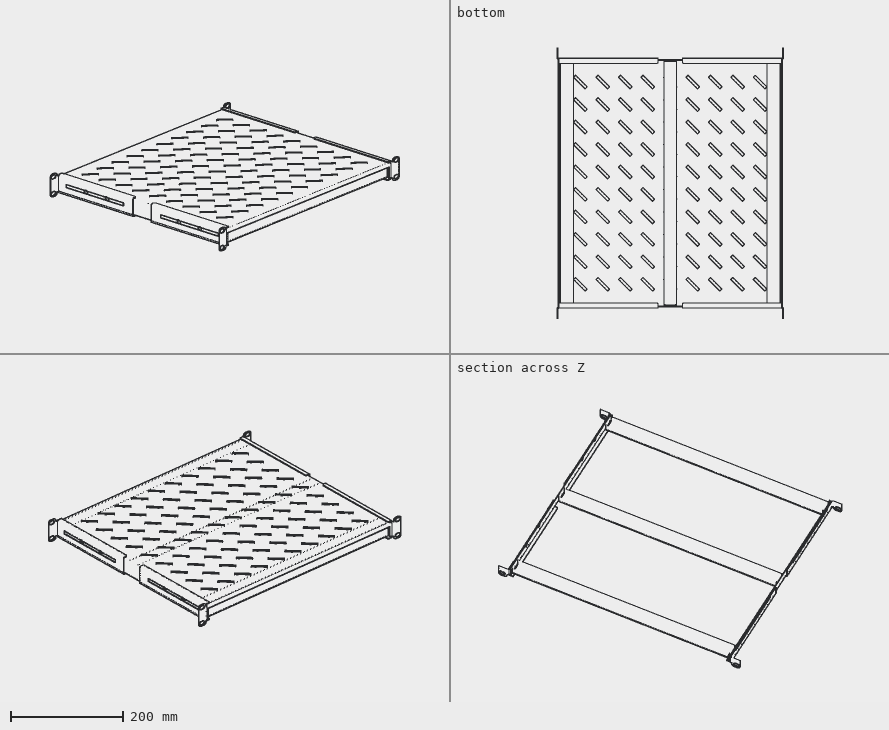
import cadquery as cq

SHEET = 2.0
SHELF_X = 399.5
SHELF_Y = 441.5
SHELF_TOP = 16.0
SHELF_BOTTOM = -14.5
SHELF_BEND = 4.0
FRONT_FLANGE_BOTTOM = 6.8

SLOT_COLUMNS = 9
SLOT_ROWS = 10
SLOT_PITCH = 40.0
SLOT_LENGTH = 29.0
SLOT_WIDTH = 5.0
SLOT_ANGLE = 45

SIDE_HOLE_DIAMETER = 7.5
SIDE_HOLE_INNER_X = 85.5
SIDE_HOLE_OUTER_X = 135.5

CHANNEL_WIDTH = 23.0
CHANNEL_BEND = 2.5

PLATE = 2.0
OVERALL_X = 404.0
OVERALL_Y = 482.5
BRACKET_HEIGHT = 36.0
BRACKET_END_X = 21.5
BRACKET_BEND = 3.0
LIP_EDGE_Y = 213.5
LIP_CORNER = 3.0
EAR_BEND = 3.5
EAR_HEIGHT = 44.0
EAR_CORNER = 6.0
EAR_SLOT_LENGTH = 11.5
EAR_SLOT_HEIGHT = 7.0
EAR_SLOT_Y = 234.0
EAR_SLOT_Z = 16.0
ADJUST_SLOT_START_X = 44.5
ADJUST_SLOT_END_X = 181.0
ADJUST_SLOT_HEIGHT = 6.0

BRACKET_HALF_HEIGHT = BRACKET_HEIGHT / 2
SHELF_UNDERSIDE = SHELF_TOP - SHEET
SLOT_CUT_DEPTH = 4 * SHEET
INNER_X = SHELF_X - 2 * SHEET
INNER_Y = SHELF_Y - 2 * SHEET
INNER_BEND = SHELF_BEND - SHEET
CHANNEL_LENGTH = SHELF_Y - 2 * SHELF_BEND
END_CHANNEL_X = INNER_X / 2 - INNER_BEND - CHANNEL_WIDTH / 2
WALL_INNER_Y = SHELF_Y / 2
WALL_OUTER_Y = WALL_INNER_Y + PLATE
EAR_FACE_X = OVERALL_X / 2
EAR_BACK_X = EAR_FACE_X - PLATE
EAR_START_Y = WALL_INNER_Y + EAR_BEND
EAR_END_Y = OVERALL_Y / 2


def block(x_range, y_range, z_range):
    """Box between the given (low, high) limits along each axis."""
    (x0, x1), (y0, y1), (z0, z1) = x_range, y_range, z_range
    return cq.Workplane("XY").box(x1 - x0, y1 - y0, z1 - z0, centered=False).translate((x0, y0, z0))


def rounded_tray(length_x, length_y, top, radius):
    """Solid block down to the shelf bottom, with all its top edges rounded."""
    tray = cq.Workplane("XY").workplane(offset=SHELF_BOTTOM).rect(length_x, length_y)
    return tray.extrude(top - SHELF_BOTTOM).faces(">Z").edges().fillet(radius)


def make_shelf():
    """Slotted tray, open below, with deep flanges at its Y sides and short ones at its X ends."""
    shelf = rounded_tray(SHELF_X, SHELF_Y, SHELF_TOP, SHELF_BEND)
    shelf = shelf.cut(rounded_tray(INNER_X, INNER_Y, SHELF_UNDERSIDE, INNER_BEND))

    end_opening = block(
        (-SHELF_X, SHELF_X),
        (-CHANNEL_LENGTH / 2, CHANNEL_LENGTH / 2),
        (SHELF_BOTTOM, FRONT_FLANGE_BOTTOM),
    )
    shelf = shelf.cut(end_opening)

    slots = (
        cq.Workplane("XY")
        .workplane(offset=SHELF_UNDERSIDE)
        .rarray(SLOT_PITCH, SLOT_PITCH, SLOT_COLUMNS, SLOT_ROWS)
        .eachpoint(
            cq.Workplane("XY")
            .box(SLOT_LENGTH, SLOT_WIDTH, SLOT_CUT_DEPTH)
            .rotate((0, 0, 0), (0, 0, 1), SLOT_ANGLE)
            .val(),
            combine=False,
        )
    )
    shelf = shelf.cut(slots)

    hole_places = [
        (side * x, 0) for side in (-1, 1) for x in (SIDE_HOLE_INNER_X, SIDE_HOLE_OUTER_X)
    ]
    holes = cq.Workplane("XZ").pushPoints(hole_places).circle(SIDE_HOLE_DIAMETER / 2)
    return shelf.cut(holes.extrude(SHELF_Y, both=True))


def make_channel(x_middle):
    """U channel, open upward, lying along Y under the shelf top."""
    outer = block(
        (-CHANNEL_WIDTH / 2, CHANNEL_WIDTH / 2),
        (-CHANNEL_LENGTH / 2, CHANNEL_LENGTH / 2),
        (SHELF_BOTTOM, SHELF_UNDERSIDE),
    )
    outer = outer.faces("<Z").edges("|Y").fillet(CHANNEL_BEND)
    half_inside = CHANNEL_WIDTH / 2 - SHEET
    inside = block(
        (-half_inside, half_inside),
        (-CHANNEL_LENGTH / 2, CHANNEL_LENGTH / 2),
        (SHELF_BOTTOM + SHEET, SHELF_UNDERSIDE),
    )
    inside = inside.faces("<Z").edges("|Y").fillet(CHANNEL_BEND - SHEET)
    return outer.cut(inside).translate((x_middle, 0, 0))


def make_rail():
    """Straight C section of a bracket, holding the +Y shelf flange at the +X half."""
    inner_half_height = BRACKET_HALF_HEIGHT - PLATE
    x_range = (BRACKET_END_X, EAR_FACE_X - EAR_BEND)
    outer = block(x_range, (LIP_EDGE_Y, WALL_OUTER_Y), (-BRACKET_HALF_HEIGHT, BRACKET_HALF_HEIGHT))
    outer = outer.faces(">Y").edges("|X").fillet(BRACKET_BEND)
    inside = block(x_range, (LIP_EDGE_Y, WALL_INNER_Y), (-inner_half_height, inner_half_height))
    inside = inside.faces(">Y").edges("|X").fillet(BRACKET_BEND - PLATE)
    rail = outer.cut(inside)

    lip_corners = cq.selectors.BoxSelector(
        (BRACKET_END_X - PLATE, LIP_EDGE_Y - PLATE, -BRACKET_HEIGHT),
        (BRACKET_END_X + PLATE, LIP_EDGE_Y + PLATE, BRACKET_HEIGHT),
    )
    rail = rail.edges(lip_corners).edges("|Z").fillet(LIP_CORNER)

    adjust_slot = block(
        (ADJUST_SLOT_START_X, ADJUST_SLOT_END_X),
        (WALL_INNER_Y - PLATE, WALL_OUTER_Y + PLATE),
        (-ADJUST_SLOT_HEIGHT / 2, ADJUST_SLOT_HEIGHT / 2),
    )
    return rail.cut(adjust_slot)


def make_ear_bend():
    """Quarter-round bend joining the bracket wall to its ear."""
    bend_x = EAR_FACE_X - EAR_BEND
    height = 2 * (BRACKET_HALF_HEIGHT - BRACKET_BEND)
    sector = block(
        (bend_x, EAR_FACE_X),
        (WALL_INNER_Y, EAR_START_Y),
        (-height / 2, height / 2),
    )
    tube = (
        cq.Workplane("XY")
        .workplane(offset=-height / 2)
        .center(bend_x, EAR_START_Y)
        .circle(EAR_BEND)
        .circle(EAR_BEND - PLATE)
        .extrude(height)
    )
    return tube.intersect(sector)


def make_ear():
    """Upright mounting ear with two elongated screw holes."""
    ear = block((EAR_BACK_X, EAR_FACE_X), (EAR_START_Y, EAR_END_Y), (-EAR_HEIGHT / 2, EAR_HEIGHT / 2))
    ear = ear.edges("|X").fillet(EAR_CORNER)
    screw_slots = (
        cq.Workplane("YZ")
        .pushPoints([(EAR_SLOT_Y, EAR_SLOT_Z), (EAR_SLOT_Y, -EAR_SLOT_Z)])
        .slot2D(EAR_SLOT_LENGTH, EAR_SLOT_HEIGHT)
        .extrude(EAR_FACE_X + PLATE)
    )
    return ear.cut(screw_slots)


def make_bracket(x_side, y_side):
    """Bracket at one corner; x_side and y_side are +1 or -1."""
    bracket = make_rail().union(make_ear_bend()).union(make_ear())
    if x_side < 0:
        bracket = bracket.mirror("YZ")
    if y_side < 0:
        bracket = bracket.mirror("XZ")
    return bracket


shelf = make_shelf()
channels = [make_channel(x) for x in (-END_CHANNEL_X, 0, END_CHANNEL_X)]
brackets = [make_bracket(x_side, y_side) for x_side in (-1, 1) for y_side in (-1, 1)]

result = cq.Compound.makeCompound(
    [shelf.val()]
    + [channel.val() for channel in channels]
    + [bracket.val() for bracket in brackets]
)